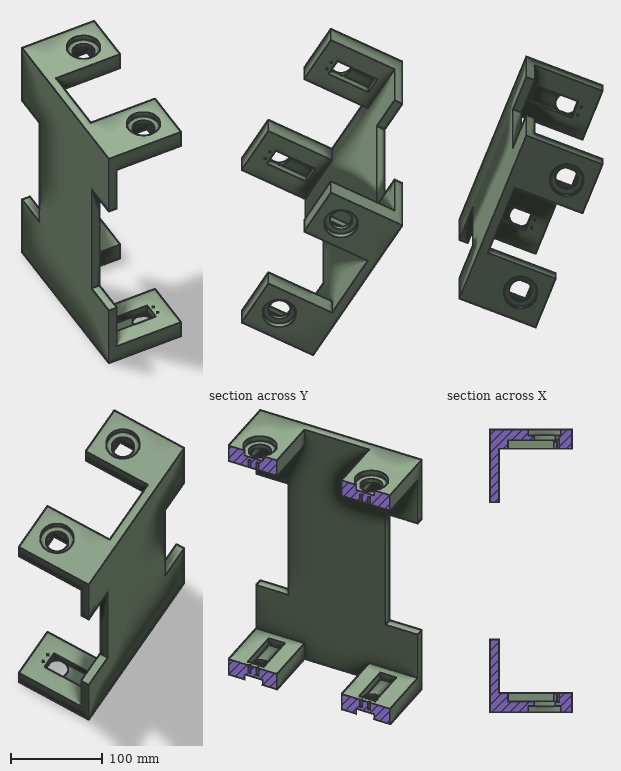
import cadquery as cq

width = 200.0
depth = 90.0
height = 310.0

plate_thickness = 10.0
waist_width = 120.3
plate_end_height = 80.0
waist_height = height - 2 * plate_end_height

arm_thickness = 21.5
arm_gap = 80.0

seat_from_side = 31.0
seat_from_back = 30.0
counterbore_diameter = 37.0
counterbore_depth = 6.8
bore_diameter = 24.8
slot_width = 19.8
slot_depth = 9.3
slot_behind_seat = 10.0
slot_length = 50.0

pin_hole_diameter = 2.2
pin_hole_depth = 10.0
pin_hole_spacing = 10.0
pin_hole_behind_slot = 5.0

seat_x = width / 2 - seat_from_side
seat_y = depth - seat_from_back


def make_plate():
    """Plate with a rectangular notch in each long side."""
    plate = cq.Workplane("XY").box(width, plate_thickness, height, centered=(True, False, True))
    notch_width = (width - waist_width) / 2
    for side in (-1, 1):
        notch = cq.Workplane("XY").box(
            notch_width, plate_thickness, waist_height, centered=(True, False, True)
        )
        plate = plate.cut(notch.translate((side * (width - notch_width) / 2, 0, 0)))
    return plate


def make_upper_arms():
    """Pair of arms flush with the top of the plate, separated by the gap."""
    arm_bottom = height / 2 - arm_thickness
    block = cq.Workplane("XY").box(width, depth, arm_thickness, centered=(True, False, False))
    gap = (
        cq.Workplane("XY")
        .box(arm_gap, depth, arm_thickness, centered=(True, False, False))
        .translate((0, plate_thickness, 0))
    )
    return block.cut(gap).translate((0, 0, arm_bottom))


def make_upper_seat(x):
    """Cutter for one seat: stepped round hole from above, open slot from below."""
    top = height / 2
    arm_bottom = top - arm_thickness
    counterbore = (
        cq.Workplane("XY", origin=(x, seat_y, top))
        .circle(counterbore_diameter / 2)
        .extrude(-counterbore_depth)
    )
    bore = (
        cq.Workplane("XY", origin=(x, seat_y, top))
        .circle(bore_diameter / 2)
        .extrude(slot_depth - arm_thickness)
    )
    slot_back = seat_y + slot_behind_seat
    slot = (
        cq.Workplane("XY", origin=(x, slot_back - slot_length / 2, arm_bottom))
        .rect(slot_width, slot_length)
        .extrude(slot_depth)
    )
    return counterbore.union(bore).union(slot)


def make_upper_pin_holes(x):
    """Cutter for the two pin holes of one arm, sunk upwards from its inner face."""
    pin_y = seat_y + slot_behind_seat + pin_hole_behind_slot
    return (
        cq.Workplane("XY", origin=(x, pin_y, height / 2 - arm_thickness))
        .pushPoints([(-pin_hole_spacing / 2, 0), (pin_hole_spacing / 2, 0)])
        .circle(pin_hole_diameter / 2)
        .extrude(pin_hole_depth)
    )


upper_arms = make_upper_arms()
for side in (-1, 1):
    upper_arms = upper_arms.cut(make_upper_seat(side * seat_x))
    upper_arms = upper_arms.cut(make_upper_pin_holes(side * seat_x))

lower_arms = upper_arms.mirror("XY")

result = make_plate().union(upper_arms).union(lower_arms)